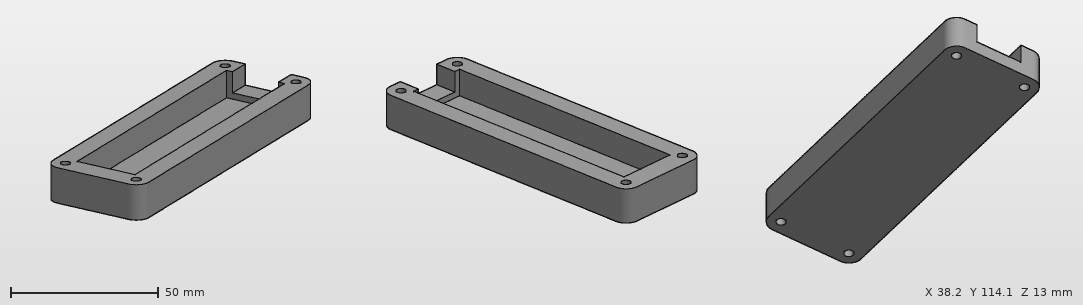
import cadquery as cq

width = 38.2
length = 114.1
height = 13.0
corner_radius = 5.0

pocket_width = 23.0
pocket_length = 97.3
pocket_depth = 10.0

slot_width = 18.3
slot_depth = 7.8

hole_diameter = 3.4
hole_spacing_x = width - 2 * corner_radius
hole_spacing_y = length - 2 * corner_radius


def make_body():
    body = cq.Workplane("XY").box(width, length, height, centered=(True, True, False))
    return body.edges("|Z").fillet(corner_radius)


def make_pocket():
    return (
        cq.Workplane("XY", origin=(0, 0, height - pocket_depth))
        .box(pocket_width, pocket_length, pocket_depth, centered=(True, True, False))
    )


def make_slot():
    """Slot running from the middle of the pocket out through the +Y end."""
    return (
        cq.Workplane("XY", origin=(0, 0, height - slot_depth))
        .box(slot_width, length / 2, slot_depth, centered=(True, False, False))
    )


def make_screw_holes():
    return (
        cq.Workplane("XY")
        .rect(hole_spacing_x, hole_spacing_y, forConstruction=True)
        .vertices()
        .circle(hole_diameter / 2)
        .extrude(height)
    )


result = make_body().cut(make_pocket()).cut(make_slot()).cut(make_screw_holes())